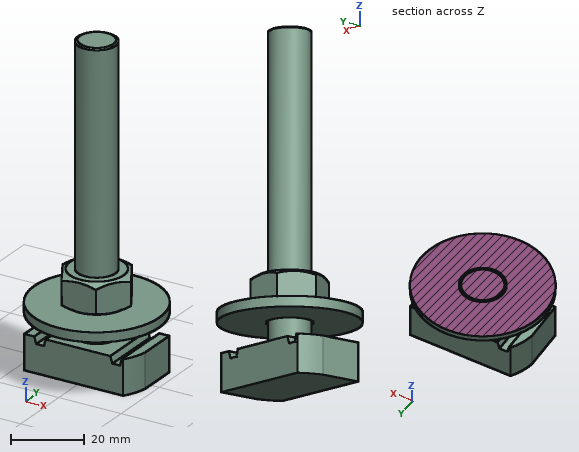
import cadquery as cq
import math

total_height = 100.0
head_height = 11.0
washer_bottom = 18.0
washer_thickness = 3.0
nut_height = 10.0
nut_bottom = washer_bottom + washer_thickness

rod_diameter = 12.0
rod_tip_radius_loss = 0.7
rod_tip_height = 0.4

washer_diameter = 40.0
washer_hole_diameter = 13.0

nut_across_flats = 19.0
nut_face_diameter = 0.9 * nut_across_flats
nut_chamfer_angle = 30.0

head_length = 34.5
head_width = 19.7
head_corner_radius = 17.5
groove_center = 12.2
groove_top_width = 3.7
groove_floor_width = 2.4
groove_depth = 2.1


def make_rod():
    """Plain rod from the head's top to the tip, chamfered at the tip."""
    rod = cq.Workplane("XY").workplane(offset=head_height)
    rod = rod.circle(rod_diameter / 2).extrude(total_height - head_height)
    return rod.faces(">Z").chamfer(rod_tip_height, rod_tip_radius_loss)


def make_washer():
    washer = cq.Workplane("XY").workplane(offset=washer_bottom)
    washer = washer.circle(washer_diameter / 2).circle(washer_hole_diameter / 2)
    return washer.extrude(washer_thickness)


def make_nut():
    """Hexagon cut down at both ends by a cone around the rod axis."""
    corner_radius = nut_across_flats / math.sqrt(3)
    face_radius = nut_face_diameter / 2
    chamfer_height = (corner_radius - face_radius) * math.tan(math.radians(nut_chamfer_angle))
    nut_top = nut_bottom + nut_height
    hexagon = (
        cq.Workplane("XY")
        .workplane(offset=nut_bottom)
        .polygon(6, 2 * corner_radius)
        .extrude(nut_height)
    )
    envelope = (
        cq.Workplane("XZ")
        .moveTo(0, nut_bottom)
        .lineTo(face_radius, nut_bottom)
        .lineTo(corner_radius, nut_bottom + chamfer_height)
        .lineTo(corner_radius, nut_top - chamfer_height)
        .lineTo(face_radius, nut_top)
        .lineTo(0, nut_top)
        .close()
        .revolve(360, (0, 0, 0), (0, 1, 0))
    )
    return hexagon.intersect(envelope)


def make_head():
    """Block with two opposite corners rounded and a groove across each end."""
    half_length = head_length / 2
    half_width = head_width / 2
    arc_end_y = math.sqrt(head_corner_radius**2 - half_length**2)
    arc_end_x = math.sqrt(head_corner_radius**2 - half_width**2)
    middle_angle = (math.atan2(arc_end_y, half_length) + math.atan2(half_width, arc_end_x)) / 2
    middle_x = head_corner_radius * math.cos(middle_angle)
    middle_y = head_corner_radius * math.sin(middle_angle)
    head = (
        cq.Workplane("XY")
        .moveTo(-half_length, -half_width)
        .lineTo(arc_end_x, -half_width)
        .threePointArc((middle_x, -middle_y), (half_length, -arc_end_y))
        .lineTo(half_length, half_width)
        .lineTo(-arc_end_x, half_width)
        .threePointArc((-middle_x, middle_y), (-half_length, arc_end_y))
        .close()
        .extrude(head_height)
    )
    for side in (-1, 1):
        center = side * groove_center
        groove = (
            cq.Workplane("XZ")
            .moveTo(center - groove_top_width / 2, head_height)
            .lineTo(center - groove_floor_width / 2, head_height - groove_depth)
            .lineTo(center + groove_floor_width / 2, head_height - groove_depth)
            .lineTo(center + groove_top_width / 2, head_height)
            .close()
            .extrude(half_width, both=True)
        )
        head = head.cut(groove)
    return head


result = make_head().union(make_rod()).union(make_nut()).union(make_washer())